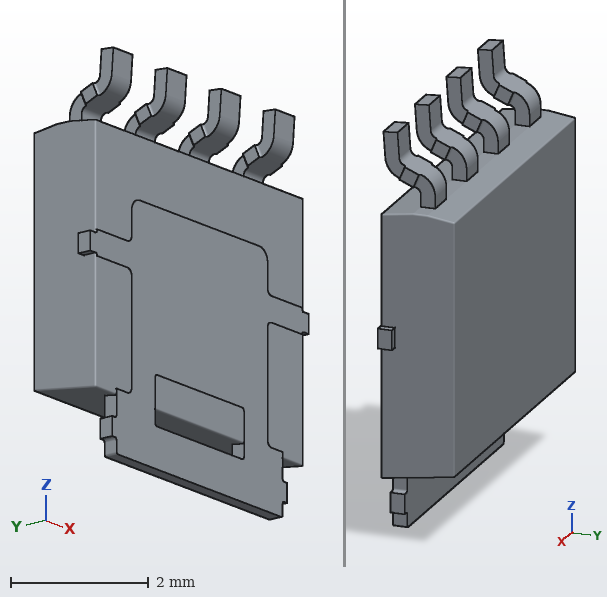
import cadquery as cq
import math

TOTAL_HEIGHT = 6.15

HOUSING_WIDTH = 4.9
HOUSING_DEPTH = 1.15
HOUSING_BOTTOM = 0.9
RIDGE_HEIGHT = 5.05
DRAFT_ANGLE = math.radians(8)
HOUSING_FILLET = 0.0275

METAL_THICKNESS = 0.22
STUB_FILLET = 0.035

LEAD_COUNT = 4
LEAD_ROW_SPAN = 3.81
LEAD_WIDTH = 0.455
LEAD_CENTRE_Y = 0.615
ROOT_LENGTH = 0.185
BEND_INNER_RADIUS = 0.11
SLOPE_ANGLE = math.radians(67)
SLOPE_LENGTH = 0.315
FOOT_ANGLE = math.radians(4)
LEAD_STUB_LENGTH = 0.04

TAB_HALF_WIDTH = 1.955
SHOULDER_Z = 0.995
TAB_STUB_LENGTH = 0.105
TAB_STUB_BOTTOM = 0.245
TAB_STUB_TOP = 0.555
TAB_CORNER_RADIUS = 0.035
PAD_HALF_WIDTH = 1.6
PAD_TOP = 4.0
PAD_CORNER_RADIUS = 0.195
PAD_INNER_RADIUS = 0.1
ARM_BOTTOM = 2.9
ARM_TOP = 3.31
ARM_SPAN = HOUSING_WIDTH - 2 * STUB_FILLET
ARM_TIP_SPAN = 5.15
ARM_TIP_BOTTOM = 2.945
ARM_TIP_TOP = 3.255
SLOT_WIDTH = 2.09
SLOT_BOTTOM = 0.65
SLOT_TOP = 1.44
SLOT_CORNER_RADIUS = 0.05

ARC_MIDDLE = math.sqrt(0.5)


def block(width, bottom, top):
    """Sheet-metal block on the mounting face, centred on X = 0, from one height to another."""
    base = cq.Workplane("XY", origin=(0, METAL_THICKNESS / 2, bottom))
    return base.rect(width, METAL_THICKNESS).extrude(top - bottom)


def fillet_at(body, half_width, height, radius):
    """Round the two mirrored Y-direction edges at X = +-half_width and the given height."""
    reach = 0.0005
    for x in (-half_width, half_width):
        low = (x - reach, -reach, height - reach)
        high = (x + reach, METAL_THICKNESS + reach, height + reach)
        body = body.edges("|Y").edges(cq.selectors.BoxSelector(low, high)).fillet(radius)
    return body


def make_tab():
    """Plate with a slot, a pad, two arms and narrow stubs, all of one thickness."""
    tab = block(2 * TAB_HALF_WIDTH, 0, SHOULDER_Z)
    tab = tab.union(block(2 * PAD_HALF_WIDTH, 0, PAD_TOP))
    tab = tab.union(block(ARM_SPAN, ARM_BOTTOM, ARM_TOP))
    tab = tab.union(block(ARM_TIP_SPAN, ARM_TIP_BOTTOM, ARM_TIP_TOP))
    tab = tab.union(block(2 * (TAB_HALF_WIDTH + TAB_STUB_LENGTH), TAB_STUB_BOTTOM, TAB_STUB_TOP))

    tab = fillet_at(tab, TAB_HALF_WIDTH, 0, TAB_CORNER_RADIUS)
    tab = fillet_at(tab, PAD_HALF_WIDTH, PAD_TOP, PAD_CORNER_RADIUS)
    for height in (SHOULDER_Z, ARM_BOTTOM, ARM_TOP):
        tab = fillet_at(tab, PAD_HALF_WIDTH, height, PAD_INNER_RADIUS)
    for height in (TAB_STUB_BOTTOM, TAB_STUB_TOP):
        tab = fillet_at(tab, TAB_HALF_WIDTH, height, STUB_FILLET)
    for height in (ARM_TIP_BOTTOM, ARM_TIP_TOP):
        tab = fillet_at(tab, ARM_SPAN / 2, height, STUB_FILLET)

    slot = block(SLOT_WIDTH, SLOT_BOTTOM, SLOT_TOP).edges("|Y").fillet(SLOT_CORNER_RADIUS)
    return tab.cut(slot)


def make_housing():
    """Block with a drafted bottom and a top that falls both ways from a flat ridge as deep as a lead."""
    slope = math.tan(DRAFT_ANGLE)
    ridge_front = LEAD_CENTRE_Y - METAL_THICKNESS / 2
    ridge_back = LEAD_CENTRE_Y + METAL_THICKNESS / 2
    outline = [
        (0, HOUSING_BOTTOM),
        (HOUSING_DEPTH, HOUSING_BOTTOM + HOUSING_DEPTH * slope),
        (HOUSING_DEPTH, RIDGE_HEIGHT - (HOUSING_DEPTH - ridge_back) * slope),
        (ridge_back, RIDGE_HEIGHT),
        (ridge_front, RIDGE_HEIGHT),
        (0, RIDGE_HEIGHT - ridge_front * slope),
    ]
    housing = cq.Workplane("YZ").polyline(outline).close().extrude(HOUSING_WIDTH / 2, both=True)
    return housing.edges("<Y or >Y or <X or >X").fillet(HOUSING_FILLET)


def straight_end(start, lean, length):
    """End (y, z) of a straight stretch that leans from +Z towards -Y by the given angle."""
    y, z = start
    return y - length * math.sin(lean), z + length * math.cos(lean)


def bend_end(start, lean_before, lean_after):
    """End (y, z) of a bend of the lead's centreline from one lean to another."""
    y, z = start
    radius = math.copysign(BEND_INNER_RADIUS + METAL_THICKNESS / 2, lean_after - lean_before)
    y_shift = radius * (math.cos(lean_after) - math.cos(lean_before))
    z_shift = radius * (math.sin(lean_after) - math.sin(lean_before))
    return y + y_shift, z + z_shift


def make_lead(x):
    """Lead swept along its centreline, with a stub on each side of its slope."""
    root_start = (LEAD_CENTRE_Y, RIDGE_HEIGHT)
    root_end = straight_end(root_start, 0, ROOT_LENGTH)
    slope_start = bend_end(root_end, 0, SLOPE_ANGLE)
    slope_end = straight_end(slope_start, SLOPE_ANGLE, SLOPE_LENGTH)
    foot_start = bend_end(slope_end, SLOPE_ANGLE, FOOT_ANGLE)
    tip_z = TOTAL_HEIGHT - METAL_THICKNESS / 2 * math.sin(FOOT_ANGLE)
    foot_length = (tip_z - foot_start[1]) / math.cos(FOOT_ANGLE)

    centreline = (
        cq.Workplane("YZ", origin=(x, 0, 0))
        .moveTo(*root_start)
        .lineTo(*root_end)
        .tangentArcPoint(slope_start, relative=False)
        .lineTo(*slope_end)
        .tangentArcPoint(foot_start, relative=False)
        .lineTo(*straight_end(foot_start, FOOT_ANGLE, foot_length))
    )
    section = cq.Workplane("XY", origin=(x, *root_start)).rect(LEAD_WIDTH, METAL_THICKNESS)
    slope_plane = cq.Plane(
        origin=(x, *slope_start),
        xDir=(1, 0, 0),
        normal=(0, -math.cos(SLOPE_ANGLE), -math.sin(SLOPE_ANGLE)),
    )
    return section.sweep(centreline).union(make_lead_stubs(slope_plane))


def make_lead_stubs(slope_plane):
    """Strip as long as the slope, with a stub on each side that runs out in concave arcs."""
    half_lead = LEAD_WIDTH / 2
    half_stub = half_lead + LEAD_STUB_LENGTH
    arc_x = half_lead + STUB_FILLET
    mid_x = arc_x - STUB_FILLET * ARC_MIDDLE
    mid_y = STUB_FILLET * ARC_MIDDLE
    upper = SLOPE_LENGTH - STUB_FILLET
    return (
        cq.Workplane(slope_plane)
        .moveTo(0, 0)
        .lineTo(half_lead, 0)
        .threePointArc((mid_x, mid_y), (arc_x, STUB_FILLET))
        .lineTo(half_stub, STUB_FILLET)
        .lineTo(half_stub, upper)
        .lineTo(arc_x, upper)
        .threePointArc((mid_x, SLOPE_LENGTH - mid_y), (half_lead, SLOPE_LENGTH))
        .lineTo(0, SLOPE_LENGTH)
        .mirrorY()
        .extrude(METAL_THICKNESS / 2, both=True)
    )


tab = make_tab()

package = make_housing().cut(tab)
lead_pitch = LEAD_ROW_SPAN / (LEAD_COUNT - 1)
for index in range(LEAD_COUNT):
    package = package.union(make_lead(index * lead_pitch - LEAD_ROW_SPAN / 2))

result = cq.Compound.makeCompound([package.solids().val(), tab.solids().val()])